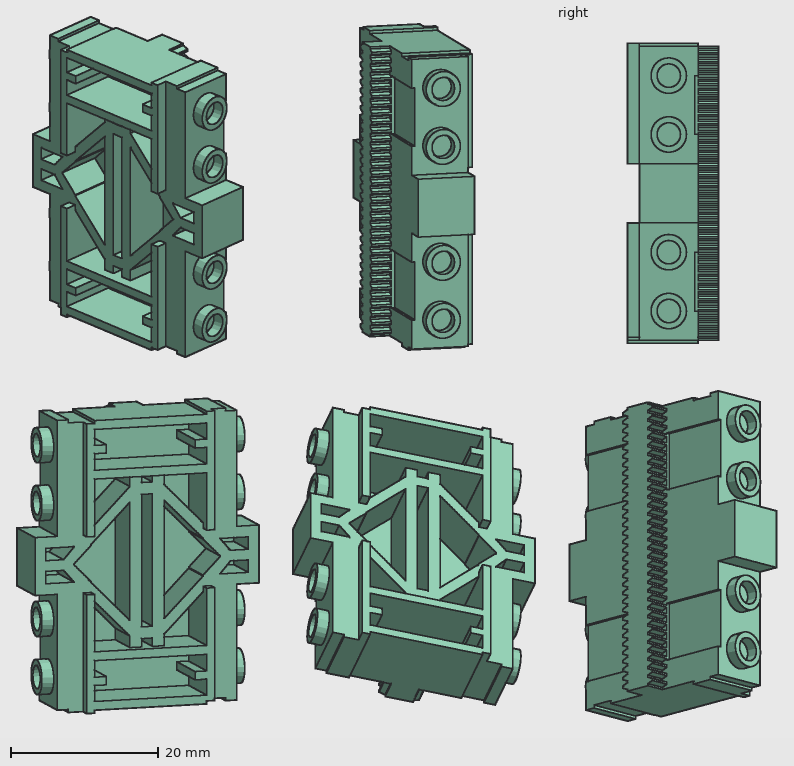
import cadquery as cq

unit = 8.0
overall_height = 40.8

body_depth = unit
rail_depth = 1.65
rack_depth = 2.77
back_wall = 1.6
pocket_floor = body_depth - back_wall

body_half_height = 2.5 * unit
body_half_width = 12.8
tab_half_width = 2 * unit
tab_half_height = unit / 2
end_step = overall_height / 2 - body_half_height
step_inner = unit
step_outer = 11.2

frame_inner = unit
frame_outer = 9.15
end_wall = 1.22
divider_bottom = 11.9
divider_top = divider_bottom + end_wall
nub_length = 1.67
nub_thickness = 1.15
nub_height = 2 * unit

rib_outer_reach = 12.75
rib_inner_reach = 10.6
tip_inner_reach = 10.5
post_half_width = 2.45
slot_half_width = 0.78
slot_half_height = 9.15
notch_bottom = 10.77

tab_pocket_outer = 14.45
tab_pocket_bottom = 0.75
tab_pocket_top = 2.45
tab_pocket_slope_start = 11.9
tab_pocket_slope_end = 10.4

stud_diameter = 4.8
stud_bore = 3.2
stud_length = 1.67
stud_y = body_depth / 2
stud_heights = (unit, 2 * unit)

recess_depth = 0.45
recess_bottom = unit
recess_top = 2 * unit

rack_root_half_width = 2.0
rack_tip_half_width = 2.85
tooth_pitch = 1.205
tooth_count = 33
tooth_step = tooth_pitch / 4

SIDES = (-1, 1)


def block(x_range, y_range, z_range):
    """Box between two limits on each axis, given in either order."""
    x0, x1 = sorted(x_range)
    y0, y1 = sorted(y_range)
    z0, z1 = sorted(z_range)
    return cq.Workplane("XY").box(x1 - x0, y1 - y0, z1 - z0, centered=False).translate((x0, y0, z0))


def prism(points, y_start, y_end):
    """Outline of (x, z) points extruded along Y."""
    outline = cq.Workplane("XZ", origin=(0, y_start, 0)).polyline(points).close()
    return outline.extrude(y_start - y_end)


def four_ways(points):
    """The outline mirrored into all four quadrants of the XZ plane."""
    return [[(sx * x, sz * z) for x, z in points] for sx in SIDES for sz in SIDES]


def make_body():
    body = block((-body_half_width, body_half_width), (0, body_depth), (-body_half_height, body_half_height))
    tabs = block((-tab_half_width, tab_half_width), (0, body_depth), (-tab_half_height, tab_half_height))
    return body.union(tabs)


def add_front_frame(body):
    for end in SIDES:
        for side in SIDES:
            rail = block(
                (side * frame_inner, side * frame_outer),
                (-rail_depth, 0),
                (end * tab_half_height, end * body_half_height),
            )
            body = body.union(rail)
        for bottom in (divider_bottom, body_half_height - end_wall):
            wall = block(
                (-frame_inner, frame_inner),
                (-rail_depth, 0),
                (end * bottom, end * (bottom + end_wall)),
            )
            body = body.union(wall)
    return body


def shift_end_strips(body):
    """Move the ends of the left strip down and of the right strip up by one step."""
    y_range = (-rail_depth, body_depth)
    for side in SIDES:
        raised_end = side * body_half_height
        raised = block((side * step_inner, side * step_outer), (0, body_depth),
                       (raised_end, raised_end + side * end_step))
        raised_rail = block((side * frame_inner, side * frame_outer), (-rail_depth, 0),
                            (raised_end, raised_end + side * end_step))
        lowered = block((side * step_inner, side * step_outer), y_range,
                        (-raised_end, -raised_end + side * end_step))
        body = body.union(raised).union(raised_rail).cut(lowered)
    return body


def cut_front_pockets(body):
    for end in SIDES:
        box = block(
            (-frame_inner, frame_inner),
            (-rail_depth, pocket_floor),
            (end * divider_top, end * (body_half_height - end_wall)),
        )
        body = body.cut(box)
        for side in SIDES:
            nub = block(
                (side * frame_inner, side * (frame_inner - nub_length)),
                (-rail_depth, pocket_floor),
                (end * nub_height - nub_thickness / 2, end * nub_height + nub_thickness / 2),
            )
            body = body.union(nub)

    corner = [
        (post_half_width, divider_bottom),
        (frame_inner, divider_bottom),
        (frame_inner, rib_outer_reach - frame_inner),
        (post_half_width, rib_outer_reach - post_half_width),
    ]
    tab_pocket = [
        (tab_pocket_outer, tab_pocket_bottom),
        (tab_pocket_slope_start, tab_pocket_bottom),
        (tab_pocket_slope_end, tab_pocket_top),
        (tab_pocket_outer, tab_pocket_top),
    ]
    for outline in four_ways(corner) + four_ways(tab_pocket):
        body = body.cut(prism(outline, 0, pocket_floor))

    for side in SIDES:
        triangle = [
            (side * post_half_width, rib_inner_reach - post_half_width),
            (side * frame_inner, rib_inner_reach - frame_inner),
            (side * frame_inner, tip_inner_reach - frame_inner),
            (side * tip_inner_reach, 0),
            (side * frame_inner, frame_inner - tip_inner_reach),
            (side * frame_inner, frame_inner - rib_inner_reach),
            (side * post_half_width, post_half_width - rib_inner_reach),
        ]
        body = body.cut(prism(triangle, 0, pocket_floor))

    slot_width = (-slot_half_width, slot_half_width)
    body = body.cut(block(slot_width, (0, pocket_floor), (-slot_half_height, slot_half_height)))
    for end in SIDES:
        body = body.cut(block(slot_width, (0, pocket_floor), (end * notch_bottom, end * divider_bottom)))
    return body


def cut_back_recesses(body):
    for side in SIDES:
        for end in SIDES:
            recess = block(
                (side * rack_tip_half_width, side * body_half_width),
                (body_depth - recess_depth, body_depth),
                (end * recess_bottom, end * recess_top),
            )
            body = body.cut(recess)
    return body


def add_studs(body):
    for side in SIDES:
        for end in SIDES:
            for height in stud_heights:
                face = cq.Plane(
                    origin=(side * body_half_width, stud_y, end * height),
                    xDir=(0, 1, 0),
                    normal=(side, 0, 0),
                )
                stud = cq.Workplane(face).circle(stud_diameter / 2).circle(stud_bore / 2).extrude(stud_length)
                body = body.union(stud)
    return body


def make_rack():
    """Rack with trapezoidal teeth on both sides, the middle tooth at mid-height."""
    first_tooth = tooth_pitch * (tooth_count - 1) / 2
    right_side = [(rack_root_half_width, body_half_height)]
    for tooth in range(tooth_count):
        centre = first_tooth - tooth * tooth_pitch
        right_side += [
            (rack_root_half_width, centre + 1.5 * tooth_step),
            (rack_tip_half_width, centre + tooth_step / 2),
            (rack_tip_half_width, centre - tooth_step / 2),
            (rack_root_half_width, centre - 1.5 * tooth_step),
        ]
    right_side.append((rack_root_half_width, -body_half_height))
    left_side = [(-x, z) for x, z in reversed(right_side)]
    return prism(right_side + left_side, body_depth, body_depth + rack_depth)


result = add_front_frame(make_body())
result = shift_end_strips(result)
result = cut_front_pockets(result)
result = cut_back_recesses(result)
result = add_studs(result)
result = result.union(make_rack())